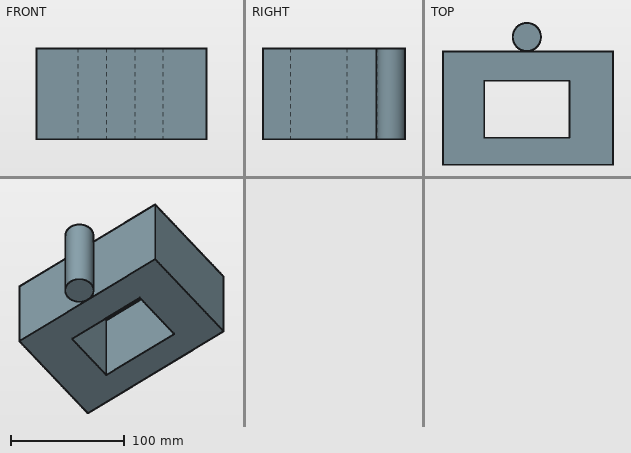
import cadquery as cq

block_length = 150.0
block_width = 100.0
height = 80.0
window_length = 75.0
window_width = 50.0
window_offset_x = -1.0
window_offset_y = -1.0

pin_diameter = 25.0
pin_gap = 0.2
pin_center_x = window_offset_x
pin_center_y = block_width / 2 + pin_gap + pin_diameter / 2


def make_block():
    """Rectangular block, centred on the Z axis, with a slightly off-centre window."""
    body = cq.Workplane("XY").rect(block_length, block_width).extrude(height)
    window = (
        cq.Workplane("XY")
        .center(window_offset_x, window_offset_y)
        .rect(window_length, window_width)
        .extrude(height)
    )
    return body.cut(window)


def make_pin():
    """Plain round pin, as tall as the block, standing just clear of its rear face."""
    return cq.Workplane("XY").center(pin_center_x, pin_center_y).circle(pin_diameter / 2).extrude(height)


block = make_block()
pin = make_pin()

result = cq.Compound.makeCompound([block.val(), pin.val()])